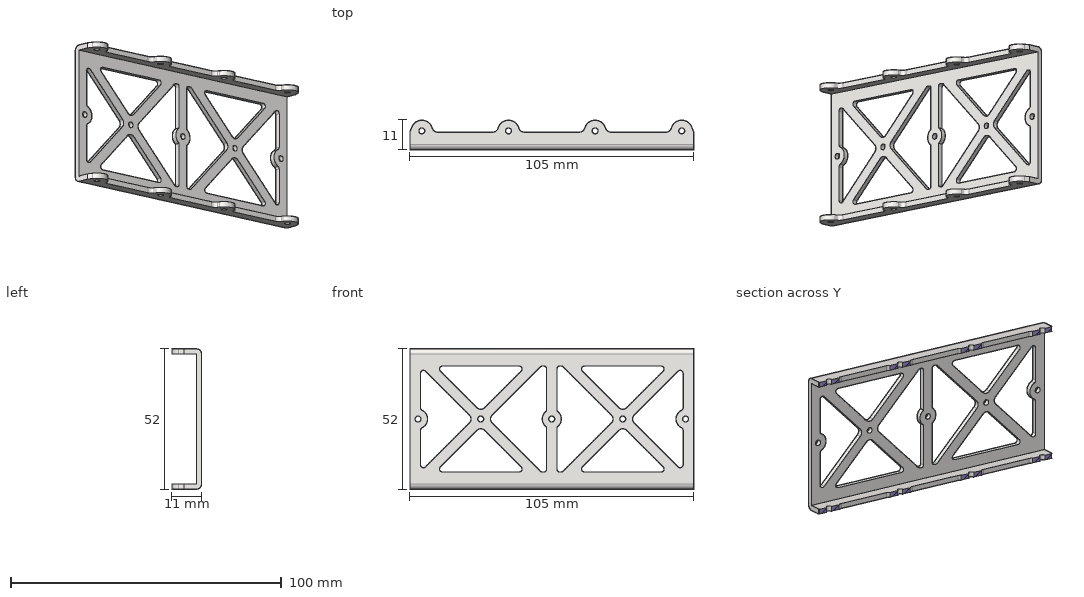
import cadquery as cq
import math

length = 105.0
height = 52.0
depth = 11.0
thickness = 2.0

flange_depth = 6.6
lug_radius = 4.0
lug_pitch = 32.0
lug_count = 4
lug_hole_diameter = 2.1
lug_root_fillet = 2.0
lug_center_y = depth - lug_radius
lug_span = (lug_count - 1) * lug_pitch
lug_centers_x = [i * lug_pitch - lug_span / 2 for i in range(lug_count)]
lug_half_base = (length - lug_span) / 2

strut_width = 4.0
middle_post_width = strut_width
end_post_width = strut_width
window_height = 39.1
cross_center_x = length / 4
cross_offset = strut_width / 2 * math.sqrt(2)
window_half_height = window_height / 2
window_corner_fillet = 1.0
blunt_tip_fillet = 0.8
window_apex_fillet = 2.0

web_hole_diameter = 2.1
boss_radius = 3.6
boss_root_fillet = 1.0
end_hole_inset = 3.0
end_hole_x = length / 2 - end_hole_inset

mid_z = height / 2


def lug(center_x):
    """Round-ended lug whose straight flanks run from its base tangent to its tip."""
    rise = flange_depth - lug_center_y
    base_distance = math.hypot(lug_half_base, rise)
    tangent_angle = math.atan2(rise, lug_half_base) + math.acos(lug_radius / base_distance)
    tangent_x = lug_radius * math.cos(tangent_angle)
    tangent_y = lug_center_y + lug_radius * math.sin(tangent_angle)
    return (
        cq.Workplane("XY")
        .moveTo(center_x - lug_half_base, 0)
        .lineTo(center_x + lug_half_base, 0)
        .lineTo(center_x + lug_half_base, flange_depth)
        .lineTo(center_x + tangent_x, tangent_y)
        .threePointArc((center_x, depth), (center_x - tangent_x, tangent_y))
        .lineTo(center_x - lug_half_base, flange_depth)
        .close()
        .extrude(thickness)
    )


def flange():
    """Flat strip with drilled lugs, lying on the XY plane."""
    body = cq.Workplane("XY").box(length, flange_depth, thickness, centered=(True, False, False))
    for x in lug_centers_x:
        body = body.union(lug(x))
    for left_x, right_x in zip(lug_centers_x, lug_centers_x[1:]):
        roots = cq.selectors.BoxSelector(
            (left_x + lug_radius, flange_depth - thickness / 2, -thickness),
            (right_x - lug_radius, flange_depth + thickness / 2, 2 * thickness),
        )
        body = body.edges("|Z").edges(roots).fillet(lug_root_fillet)
    holes = (
        cq.Workplane("XY")
        .pushPoints([(x, lug_center_y) for x in lug_centers_x])
        .circle(lug_hole_diameter / 2)
        .extrude(thickness)
    )
    return body.cut(holes)


def web_prism(points):
    """Prism through the web from (x, z) points measured from the web centre."""
    return cq.Workplane("XZ", origin=(0, 0, mid_z)).polyline(points).close().extrude(-thickness)


def web_cylinder(x, radius):
    """Cylinder through the web at half its height."""
    return cq.Workplane("XZ", origin=(x, 0, mid_z)).circle(radius).extrude(-thickness)


def top_window():
    """Triangle above the cross, pointing down at its centre."""
    half_base = window_half_height - cross_offset
    window = web_prism([
        (cross_center_x, cross_offset),
        (cross_center_x + half_base, window_half_height),
        (cross_center_x - half_base, window_half_height),
    ])
    window = window.edges("|Y and <Z").fillet(window_apex_fillet)
    return window.edges("|Y and (<X or >X)").fillet(window_corner_fillet)


def inner_window():
    """Window between the cross and the middle post, its two long tips cut off flat."""
    apex_x = cross_center_x - cross_offset
    window = web_prism([
        (apex_x, 0),
        (apex_x - window_half_height, window_half_height),
        (middle_post_width / 2, window_half_height),
        (middle_post_width / 2, -window_half_height),
        (apex_x - window_half_height, -window_half_height),
    ])
    window = window.edges("|Y and >X").fillet(window_apex_fillet)
    window = window.edges("|Y and (<Z or >Z)").fillet(blunt_tip_fillet)
    return window.cut(web_cylinder(0, boss_radius))


def outer_window():
    """Triangle between the cross and the end post, notched by the end boss."""
    apex_x = cross_center_x + cross_offset
    post_x = length / 2 - end_post_width
    half_base = post_x - apex_x
    window = web_prism([(apex_x, 0), (post_x, half_base), (post_x, -half_base)])
    window = window.edges("|Y and <X").fillet(window_apex_fillet)
    window = window.edges("|Y and >X").fillet(window_corner_fillet)
    window = window.cut(web_cylinder(end_hole_x, boss_radius))
    boss_roots = cq.selectors.BoxSelector(
        (post_x - thickness, -thickness, mid_z - 2 * boss_radius),
        (post_x + thickness, 2 * thickness, mid_z + 2 * boss_radius),
    )
    return window.edges("|Y").edges(boss_roots).edges(">X").fillet(boss_root_fillet)


web = cq.Workplane("XY").box(length, thickness, height, centered=(True, False, False))
bottom_flange = flange()
top_flange = bottom_flange.translate((0, 0, height - thickness))
result = web.union(bottom_flange).union(top_flange)
result = result.edges("|X and <Y").fillet(thickness)

upper_triangle = top_window()
lower_triangle = upper_triangle.mirror("XY", (0, 0, mid_z))
for window in (upper_triangle, lower_triangle, inner_window(), outer_window()):
    result = result.cut(window).cut(window.mirror("YZ"))

for x in (-end_hole_x, -cross_center_x, 0, cross_center_x, end_hole_x):
    result = result.cut(web_cylinder(x, web_hole_diameter / 2))